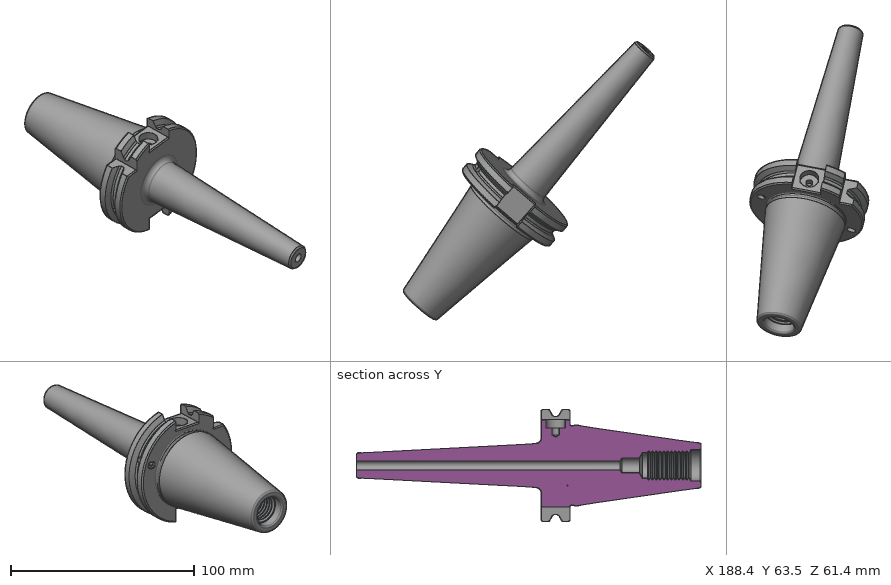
import cadquery as cq
import math

overall_length = 188.4
gauge_x = 68.4
flange_x0 = 71.5
flange_x1 = 87.5
clearance = 0.2

arc_middle = 1 - math.sqrt(0.5)

gauge_radius = 22.2
taper_per_length = 7 / 48
small_end_radius = gauge_radius - gauge_x * taper_per_length
small_end_fillet = 1.0

relief_radius = 21.9
relief_x0 = 69.9
relief_fillet = 0.5

flange_diameter = 63.5
flange_radius = flange_diameter / 2
rim_chamfer = 0.8
groove_x = 79.5
groove_root_radius = 28.0
groove_mouth_half = 3.5
groove_flank_half = 1.9
groove_root_half = 1.0
groove_flank_radius = 28.8

nose_fillet = 3.0
nose_half_angle = math.radians(3)
tip_radius = 7.0
tip_chamfer_length = 1.0
tip_chamfer_depth = 0.8
nose_x0 = flange_x1 + nose_fillet
nose_radius = tip_radius + (overall_length - nose_x0) * math.tan(nose_half_angle)

mouth_radius = 9.5
pilot_radius = 8.5
mouth_fillet = mouth_radius - pilot_radius
pilot_depth = 5.7
thread_mouth_radius = 8.0
thread_radius = 7.0
thread_pitch = 2.0
thread_crest = 0.5
thread_turns = 11
thread_depth = 32.0
middle_radius = 4.0
middle_depth = 43.3
through_radius = 2.5
shoulder_slope = math.tan(math.radians(60))

slot_width = 16.2
top_slot_floor = 25.0
bottom_slot_floor = 22.8
notch_floor = 18.5
floor_chamfer = 0.8
floor_drop = 0.5
pocket_diameter = 10.4
pocket_depth = 4.5
pocket_drill_diameter = 3.8
pocket_drill_depth = 3.8
drill_point_angle = 118
sloping_diameter = 4.1
radial_diameter = 3.8
coolant_pitch_radius = 26.8
coolant_angle = 20
coolant_slope = 35
plug_depth = 2.5
socket_width = 2.0
socket_depth = 1.9


def make_body():
    """Revolved outside: taper, relief, grooved flange and nose."""
    end_arc = small_end_fillet * arc_middle
    relief_arc = relief_fillet * arc_middle
    nose_arc = nose_fillet * arc_middle
    small_end_edge = small_end_radius + small_end_fillet * taper_per_length
    profile = (
        cq.Workplane("XY")
        .moveTo(0, 0)
        .lineTo(0, small_end_radius - small_end_fillet)
        .threePointArc(
            (end_arc, small_end_radius - end_arc),
            (small_end_fillet, small_end_edge),
        )
        .lineTo(gauge_x, gauge_radius)
        .lineTo(relief_x0, relief_radius)
        .lineTo(flange_x0 - relief_fillet, relief_radius)
        .threePointArc(
            (flange_x0 - relief_arc, relief_radius + relief_arc),
            (flange_x0, relief_radius + relief_fillet),
        )
        .lineTo(flange_x0, flange_radius - rim_chamfer)
        .lineTo(flange_x0 + rim_chamfer, flange_radius)
        .lineTo(groove_x - groove_mouth_half, flange_radius)
        .lineTo(groove_x - groove_flank_half, groove_flank_radius)
        .lineTo(groove_x - groove_root_half, groove_root_radius)
        .lineTo(groove_x + groove_root_half, groove_root_radius)
        .lineTo(groove_x + groove_flank_half, groove_flank_radius)
        .lineTo(groove_x + groove_mouth_half, flange_radius)
        .lineTo(flange_x1 - rim_chamfer, flange_radius)
        .lineTo(flange_x1, flange_radius - rim_chamfer)
        .lineTo(flange_x1, nose_radius + nose_fillet)
        .threePointArc((flange_x1 + nose_arc, nose_radius + nose_arc), (nose_x0, nose_radius))
        .lineTo(overall_length - tip_chamfer_length, tip_radius)
        .lineTo(overall_length, tip_radius - tip_chamfer_depth)
        .lineTo(overall_length, 0)
        .close()
    )
    return profile.revolve(360, (0, 0, 0), (1, 0, 0))


def make_bore():
    """Revolved tool for the stepped bore, its thread shown as plain ring grooves."""
    thread_cone = (thread_radius - middle_radius) / shoulder_slope
    middle_cone = (middle_radius - through_radius) / shoulder_slope
    thread_x0 = pilot_depth + thread_mouth_radius - thread_radius
    arc = mouth_fillet * arc_middle
    profile = (
        cq.Workplane("XY")
        .moveTo(0, 0)
        .lineTo(0, mouth_radius)
        .threePointArc((arc, pilot_radius + arc), (mouth_fillet, pilot_radius))
        .lineTo(pilot_depth, pilot_radius)
        .lineTo(pilot_depth, thread_mouth_radius)
        .lineTo(thread_x0, thread_radius)
    )
    for turn in range(thread_turns):
        crest_x = thread_x0 + turn * thread_pitch
        profile = profile.lineTo(crest_x + thread_crest, thread_radius)
        profile = profile.lineTo(crest_x + (thread_pitch + thread_crest) / 2, thread_mouth_radius)
        profile = profile.lineTo(crest_x + thread_pitch, thread_radius)
    profile = (
        profile.lineTo(thread_depth, thread_radius)
        .lineTo(thread_depth + thread_cone, middle_radius)
        .lineTo(middle_depth, middle_radius)
        .lineTo(middle_depth + middle_cone, through_radius)
        .lineTo(overall_length, through_radius)
        .lineTo(overall_length, 0)
        .close()
    )
    return profile.revolve(360, (0, 0, 0), (1, 0, 0))


def make_cutter(y0, y1, floor):
    """Block cutting the flange above a floor height, leaving bevelled floor ends."""
    top = flange_radius + clearance
    points = [
        (flange_x0, floor - floor_drop),
        (flange_x0 + floor_chamfer, floor),
        (flange_x1 - floor_chamfer, floor),
        (flange_x1, floor - floor_drop),
        (flange_x1, top),
        (flange_x0, top),
    ]
    return cq.Workplane("XZ", origin=(0, y1, 0)).polyline(points).close().extrude(y1 - y0)


def make_drill(diameter, depth):
    """Vertical drill with a conical point, its full-width part reaching down from z = 0."""
    radius = diameter / 2
    point = radius / math.tan(math.radians(drill_point_angle / 2))
    return (
        cq.Workplane("XZ")
        .polyline([(0, 0), (radius, 0), (radius, -depth), (0, -depth - point)])
        .close()
        .revolve(360, (0, 0, 0), (0, 1, 0))
    )


def make_plugged_hole(mouth, direction, diameter):
    """Blind hole along a direction, with the hexagon socket of its plug screw in the floor."""
    inward = cq.Vector(*direction)
    start = cq.Vector(*mouth)
    entry = start - inward * diameter
    hole = cq.Solid.makeCylinder(diameter / 2, plug_depth + diameter, entry, inward)
    floor = cq.Plane(origin=start + inward * plug_depth, xDir=(0, 1, 0), normal=direction)
    socket = cq.Workplane(floor).polygon(6, socket_width, circumscribed=True).extrude(socket_depth)
    return socket.union(cq.Workplane(hole))


def make_coolant_holes():
    """Sloping hole in the flange face and radial hole in the groove, both at the top."""
    slope = math.radians(coolant_slope)
    sloping_mouth = (flange_x0, 0, coolant_pitch_radius)
    sloping_direction = (math.cos(slope), 0, -math.sin(slope))
    sloping = make_plugged_hole(sloping_mouth, sloping_direction, sloping_diameter)
    radial = make_plugged_hole((groove_x, 0, groove_root_radius), (0, 0, -1), radial_diameter)
    return sloping.union(radial)


result = make_body().cut(make_bore())

half_slot = slot_width / 2
result = result.cut(make_cutter(-half_slot, half_slot, top_slot_floor))
bottom_slot = make_cutter(-half_slot, half_slot, bottom_slot_floor)
result = result.cut(bottom_slot.rotate((0, 0, 0), (1, 0, 0), 180))
result = result.cut(make_cutter(-flange_radius - clearance, -notch_floor, notch_floor))

pocket = (
    cq.Workplane("XY", origin=(groove_x, 0, top_slot_floor))
    .circle(pocket_diameter / 2)
    .extrude(-pocket_depth)
)
result = result.cut(pocket)
pocket_drill = make_drill(pocket_drill_diameter, pocket_drill_depth)
result = result.cut(pocket_drill.translate((groove_x, 0, top_slot_floor - pocket_depth)))

coolant_holes = make_coolant_holes()
for side in (0, 180):
    turn = 90 + coolant_angle + side
    result = result.cut(coolant_holes.rotate((0, 0, 0), (1, 0, 0), turn))